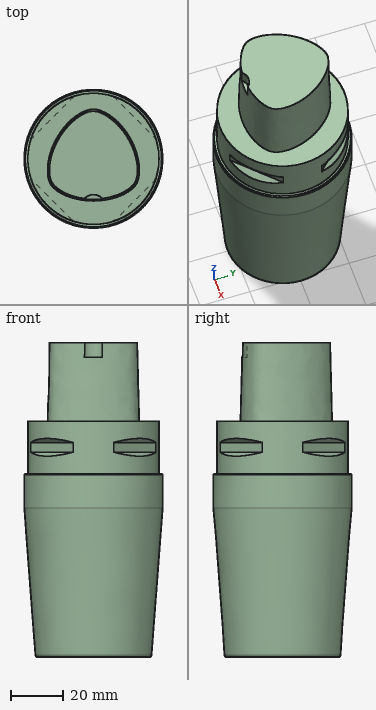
import cadquery as cq
import math

total_height = 120.0
shank_length = 30.0
collar_length = 20.0
band_length = 13.0
shoulder_z = total_height - shank_length
band_top_z = shoulder_z - collar_length
band_bottom_z = band_top_z - band_length

band_radius = 52.9 / 2
collar_radius = 50.0 / 2
tail_radius = 44.3 / 2
band_chamfer = 0.5
tail_fillet = 1.0

shank_base_radius = 17.5
shank_taper = 1 / 40
shank_top_radius = shank_base_radius - shank_taper * shank_length
lobe_height = 1.5
points_per_lobe = 12

notch_radius = 4.5
notch_height = 5.6
notch_depth = 1.7

slot_count = 4
slot_first_angle = 45
slot_z = shoulder_z - 10.0
slot_depth = 2.8
slot_floor_height = 3.6
slot_flank_angle = math.radians(30)


def turned_body():
    """Collar, widest band and tapered tail as one revolved profile."""
    profile = (
        cq.Workplane("XZ")
        .moveTo(0, 0)
        .lineTo(tail_radius, 0)
        .lineTo(band_radius, band_bottom_z)
        .lineTo(band_radius, band_top_z - band_chamfer)
        .lineTo(band_radius - band_chamfer, band_top_z)
        .lineTo(collar_radius, band_top_z)
        .lineTo(collar_radius, shoulder_z)
        .lineTo(0, shoulder_z)
        .close()
    )
    body = profile.revolve(360, (0, 0, 0), (0, 1, 0))
    return body.faces("<Z").edges().fillet(tail_fillet)


def lobed_points(mean_radius):
    """Points on the constant-width curve, with one lobe toward +Y."""
    count = 3 * points_per_lobe
    points = []
    for i in range(count):
        angle = 2 * math.pi * i / count
        along = (mean_radius * math.cos(angle)
                 + 2 * lobe_height * math.cos(2 * angle)
                 - lobe_height * math.cos(4 * angle))
        across = (mean_radius * math.sin(angle)
                  - 2 * lobe_height * math.sin(2 * angle)
                  - lobe_height * math.sin(4 * angle))
        points.append((-across, along))
    return points


def lobed_shank():
    return (
        cq.Workplane("XY", origin=(0, 0, shoulder_z))
        .spline(lobed_points(shank_base_radius), periodic=True)
        .close()
        .workplane(offset=shank_length)
        .spline(lobed_points(shank_top_radius), periodic=True)
        .close()
        .loft(ruled=True)
    )


def notch_cutter():
    flat_distance = shank_top_radius - lobe_height
    center_y = -(flat_distance - notch_depth + notch_radius)
    return (
        cq.Workplane("XY", origin=(0, center_y, total_height - notch_height))
        .circle(notch_radius)
        .extrude(notch_height)
    )


def slot_cutter(angle):
    """Straight groove with a flat floor and sloping flanks, across the collar."""
    floor_x = collar_radius - slot_depth
    half_floor = slot_floor_height / 2
    half_mouth = half_floor + slot_depth * math.tan(slot_flank_angle)
    return (
        cq.Workplane("XZ", origin=(0, 0, slot_z))
        .moveTo(floor_x, -half_floor)
        .lineTo(collar_radius, -half_mouth)
        .lineTo(collar_radius, half_mouth)
        .lineTo(floor_x, half_floor)
        .close()
        .extrude(collar_radius, both=True)
        .rotate((0, 0, 0), (0, 0, 1), angle)
    )


result = turned_body().union(lobed_shank()).cut(notch_cutter())
for slot in range(slot_count):
    result = result.cut(slot_cutter(slot_first_angle + slot * 360 / slot_count))